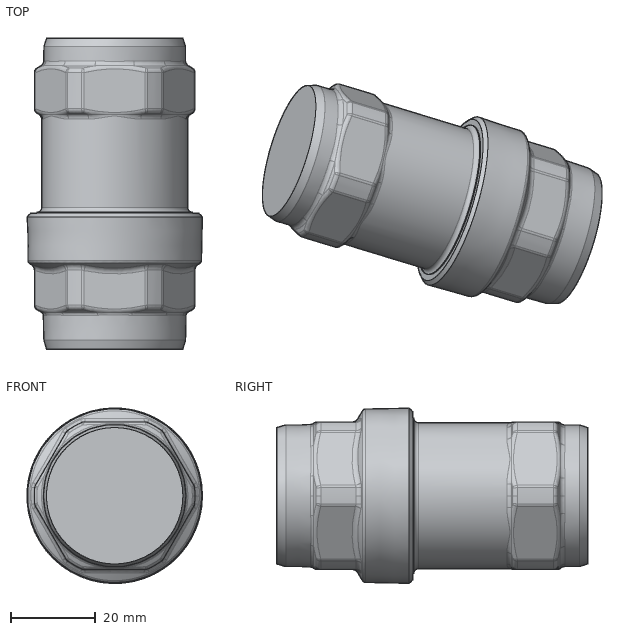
import cadquery as cq
import math

TOTAL_LENGTH = 73.3
JOINT_Y = 32.1

END_RADIUS = 16.05
BARREL_RADIUS = 16.7
TAPER = math.tan(math.radians(1.2))

HEX_FLATS = 34.75
HEX_CORNER_RADIUS = 18.9
HEX_EDGE_ROUND = 1.5
RIM_ROUND = 1.25
CONE_SLOPE = math.tan(math.radians(30))

NUT_SHOULDER_Y = 2.2
NUT_HEX_FRONT_Y = 8.5
NUT_BARREL_FILLET = 0.8
COLLAR_RADIUS = 20.7
COLLAR_CHAMFER = 0.9
COLLAR_FRONT_Y = 20.45
COLLAR_ROUND = 0.95
COLLAR_HEX_FILLET = 1.55

TUBE_RADIUS = 17.2
TUBE_FOOT_FILLET = 1.1
TUBE_FOOT_RIM = 0.2
TAIL_HEX_FRONT_Y = 55.0
TAIL_HEX_REAR_Y = 67.15
TAIL_HEX_FILLET = 1.3
TAIL_END_BEVEL = 2.05

NUT_BARREL_BASE_RADIUS = BARREL_RADIUS + (NUT_HEX_FRONT_Y - NUT_SHOULDER_Y) * TAPER
COLLAR_CHAMFER_Y = JOINT_Y - COLLAR_CHAMFER
COLLAR_FRONT_RADIUS = COLLAR_RADIUS - (COLLAR_CHAMFER_Y - COLLAR_FRONT_Y) * TAPER
COLLAR_CONE_TIP_Y = COLLAR_FRONT_Y - COLLAR_FRONT_RADIUS * CONE_SLOPE
COLLAR_HEX_Y = COLLAR_CONE_TIP_Y + HEX_CORNER_RADIUS * CONE_SLOPE
TAIL_SHOULDER_Y = TOTAL_LENGTH - TAIL_END_BEVEL
TAIL_MIDDLE_Y = (TAIL_HEX_FRONT_Y + TAIL_HEX_REAR_Y) / 2

NEAR = 0.1
RIM_REACH_RADIUS = HEX_CORNER_RADIUS - HEX_FLATS / 2 + NEAR
RIM_REACH_Y = 2.2


def revolved(profile):
    return profile.close().revolve(360, (0, 0, 0), (0, 1, 0))


def turned(points):
    """Solid of revolution about Y from (radius, y) points."""
    return revolved(cq.Workplane("XY").polyline(points))


def rod(radius, start, end):
    return cq.Workplane("XZ", origin=(0, start, 0)).circle(radius).extrude(start - end)


def round_edges(body, y, radius, y_reach, radius_reach, size):
    """Fillet the edges that run round Y and stay close to this y and radius."""

    def is_near(edge):
        for fraction in (0, 0.25, 0.5, 0.75):
            point = edge.positionAt(fraction)
            if abs(point.y - y) > y_reach:
                return False
            if abs(math.hypot(point.x, point.z) - radius) > radius_reach:
                return False
        return True

    return body.edges("not |Y").filter(is_near).fillet(size)


def hex_prism(start, end):
    """Hexagon along Y with turned-down corners and rounded long edges."""
    across_corners = HEX_FLATS / math.cos(math.radians(30))
    prism = cq.Workplane("XZ", origin=(0, start, 0)).polygon(6, across_corners).extrude(start - end)
    prism = prism.intersect(rod(HEX_CORNER_RADIUS, start, end))
    return prism.edges("|Y").fillet(HEX_EDGE_ROUND)


def cone_end(prism, radius, y, direction):
    """Trim one end of a hex to a cone through (radius, y) and round its rim.

    The cone widens toward +Y when direction is 1 and toward -Y when it is -1.
    """
    reach = 2 * HEX_FLATS
    tip_y = y - direction * radius * CONE_SLOPE
    wide_y = tip_y + direction * reach * CONE_SLOPE
    cone = turned([(0, tip_y), (reach, wide_y), (0, wide_y + direction * reach)])
    trimmed = prism.intersect(cone)
    return round_edges(trimmed, y, HEX_CORNER_RADIUS, RIM_REACH_Y, RIM_REACH_RADIUS, RIM_ROUND)


def make_collar():
    """Tapered collar with a chamfered rear edge and a rounded conical front."""
    collar = turned([
        (0, COLLAR_CONE_TIP_Y),
        (COLLAR_FRONT_RADIUS, COLLAR_FRONT_Y),
        (COLLAR_RADIUS, COLLAR_CHAMFER_Y),
        (COLLAR_RADIUS - COLLAR_CHAMFER, JOINT_Y),
        (0, JOINT_Y),
    ])
    return round_edges(collar, COLLAR_FRONT_Y, COLLAR_FRONT_RADIUS, NEAR, NEAR, COLLAR_ROUND)


def make_nut():
    head = hex_prism(0, COLLAR_FRONT_Y)
    head = cone_end(head, NUT_BARREL_BASE_RADIUS, NUT_HEX_FRONT_Y, 1)
    nut = head.union(make_collar())
    nut = round_edges(
        nut, COLLAR_HEX_Y, HEX_CORNER_RADIUS, RIM_REACH_Y, RIM_REACH_RADIUS, COLLAR_HEX_FILLET
    )
    barrel = turned([
        (0, 0),
        (END_RADIUS, 0),
        (BARREL_RADIUS, NUT_SHOULDER_Y),
        (NUT_BARREL_BASE_RADIUS, NUT_HEX_FRONT_Y),
        (BARREL_RADIUS, COLLAR_FRONT_Y),
        (0, COLLAR_FRONT_Y),
    ])
    nut = nut.union(barrel)
    return round_edges(nut, NUT_HEX_FRONT_Y, NUT_BARREL_BASE_RADIUS, NEAR, NEAR, NUT_BARREL_FILLET)


def make_tube_foot():
    """Concave flare on a thin rim that widens the tube where it stands on the collar."""
    rim_y = JOINT_Y + TUBE_FOOT_RIM
    top_y = rim_y + TUBE_FOOT_FILLET
    rim_radius = TUBE_RADIUS + TUBE_FOOT_FILLET
    arc_offset = TUBE_FOOT_FILLET * math.sqrt(0.5)
    profile = (
        cq.Workplane("XY")
        .moveTo(0, JOINT_Y)
        .lineTo(rim_radius, JOINT_Y)
        .lineTo(rim_radius, rim_y)
        .threePointArc((rim_radius - arc_offset, top_y - arc_offset), (TUBE_RADIUS, top_y))
        .lineTo(0, top_y)
    )
    return revolved(profile)


def make_tail():
    tail = hex_prism(TAIL_HEX_FRONT_Y - RIM_REACH_Y, TAIL_HEX_REAR_Y + RIM_REACH_Y)
    tail = cone_end(tail, TUBE_RADIUS, TAIL_HEX_FRONT_Y, 1)
    tail = cone_end(tail, BARREL_RADIUS, TAIL_HEX_REAR_Y, -1)
    tail = tail.union(rod(TUBE_RADIUS, JOINT_Y, TAIL_MIDDLE_Y))
    tail = round_edges(tail, TAIL_HEX_FRONT_Y, TUBE_RADIUS, NEAR, NEAR, TAIL_HEX_FILLET)
    barrel = turned([
        (0, TAIL_MIDDLE_Y),
        (BARREL_RADIUS, TAIL_MIDDLE_Y),
        (BARREL_RADIUS, TAIL_SHOULDER_Y),
        (END_RADIUS, TOTAL_LENGTH),
        (0, TOTAL_LENGTH),
    ])
    tail = tail.union(barrel)
    tail = round_edges(tail, TAIL_HEX_REAR_Y, BARREL_RADIUS, NEAR, NEAR, TAIL_HEX_FILLET)
    return tail.union(make_tube_foot())


nut = make_nut()
tail = make_tail()
result = cq.Compound.makeCompound([nut.val(), tail.val()])